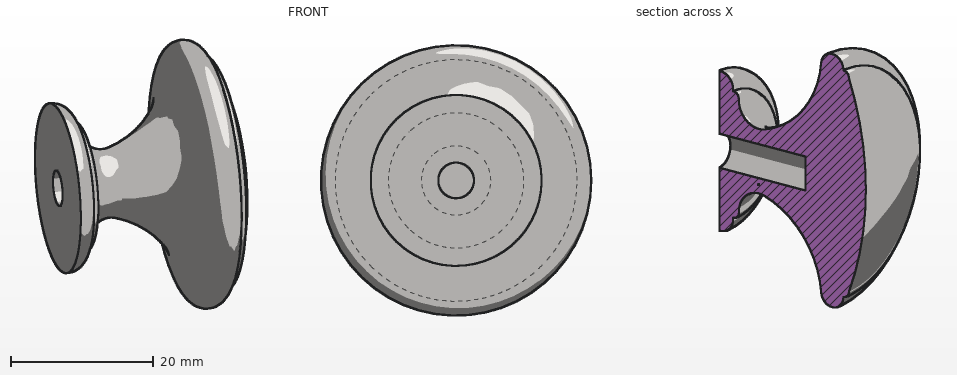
import cadquery as cq
import math


foot_radius = 12.0
foot_height = 2.5
foot_rim = 0.15
foot_round = foot_height - foot_rim

collar_radius = 9.5
collar_round = 1.0
collar_top = foot_height + collar_round

neck_radius = 4.85
neck_arc = 3.5
neck_waist = collar_top + neck_arc
neck_top = 7.98

flare_mid_radius = 8.93
flare_mid_height = 14.33

overall_height = 26.0
head_radius = 19.0
lip_round = 2.0
lip_center_radius = head_radius - lip_round
lip_center_height = 20.0
flare_end_radius = 17.18
bead_radius = lip_center_radius
bead_round = 1.0
bead_bottom = lip_center_height + lip_round
bead_top = bead_bottom + bead_round
dome_edge_radius = bead_radius - bead_round

hole_radius = 2.5
hole_depth = 15.2


def arc_point(center, radius, degrees):
    """Point at an angle on a circle in the (radius, height) plane."""
    angle = math.radians(degrees)
    return (center[0] + radius * math.cos(angle), center[1] + radius * math.sin(angle))


def make_body():
    foot_center = (foot_radius - foot_round, foot_rim)
    collar_center = (collar_radius - collar_round, foot_height)
    neck_center = (neck_radius + neck_arc, neck_waist)
    lip_center = (lip_center_radius, lip_center_height)
    bead_center = (dome_edge_radius, bead_bottom)

    neck_rise = math.degrees(math.asin((neck_top - neck_waist) / neck_arc))
    flare_end_angle = -math.degrees(math.acos((flare_end_radius - lip_center_radius) / lip_round))
    flare_end = arc_point(lip_center, lip_round, flare_end_angle)

    dome_rise = overall_height - bead_top
    dome_sphere = (dome_edge_radius**2 + dome_rise**2) / (2 * dome_rise)
    dome_center = (0, overall_height - dome_sphere)
    dome_edge_angle = math.degrees(math.acos(dome_edge_radius / dome_sphere))
    dome_mid = arc_point(dome_center, dome_sphere, (90 + dome_edge_angle) / 2)

    profile = (
        cq.Workplane("XY")
        .lineTo(foot_radius, 0)
        .lineTo(foot_radius, foot_rim)
        .threePointArc(arc_point(foot_center, foot_round, 45), (foot_center[0], foot_height))
        .lineTo(collar_radius, foot_height)
        .threePointArc(arc_point(collar_center, collar_round, 45), (collar_center[0], collar_top))
        .lineTo(neck_center[0], collar_top)
        .threePointArc(arc_point(neck_center, neck_arc, 225), (neck_radius, neck_waist))
        .threePointArc(
            arc_point(neck_center, neck_arc, 180 - neck_rise / 2),
            arc_point(neck_center, neck_arc, 180 - neck_rise),
        )
        .threePointArc((flare_mid_radius, flare_mid_height), flare_end)
        .threePointArc((head_radius, lip_center_height), (lip_center_radius, bead_bottom))
        .threePointArc(arc_point(bead_center, bead_round, 45), (dome_edge_radius, bead_top))
        .threePointArc(dome_mid, (0, overall_height))
        .close()
    )
    return profile.revolve(360, (0, 0, 0), (0, 1, 0))


def make_hole():
    return cq.Workplane("XZ").circle(hole_radius).extrude(-hole_depth)


result = make_body().cut(make_hole())